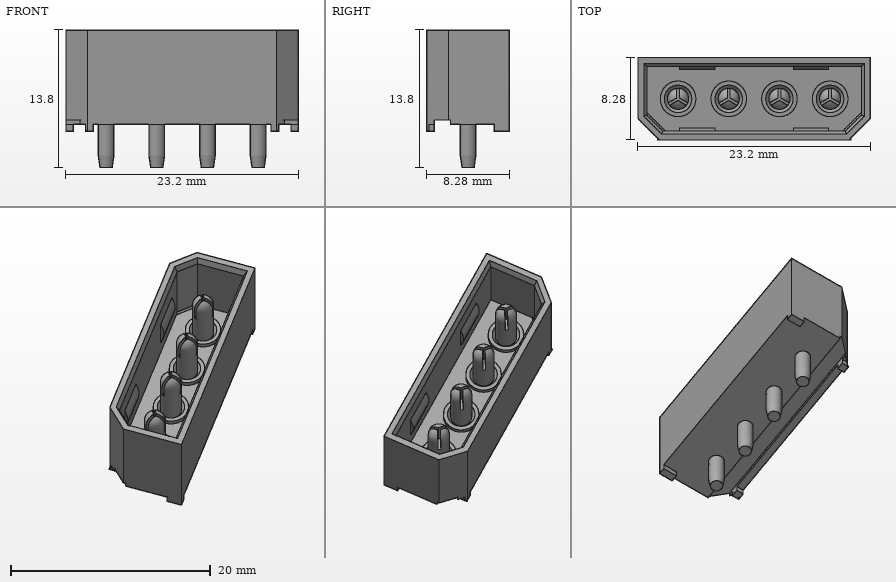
import cadquery as cq
import math

LENGTH = 23.25
DEPTH = 8.28
HEIGHT = 10.15
CORNER_CUT = 2.16
BACK = DEPTH / 2
FRONT = -DEPTH / 2

MOUTH_WALL = 0.6
MOUTH_CORNER_CUT = 1.8
CAVITY_WALL = 0.9
CAVITY_CORNER_CUT = 1.6
LEAD_IN_DEPTH = 0.6
FLOOR_TOP = 2.67
FLOOR_CORNER_CUT = 1.85
FLOOR_CHAMFER_HEIGHT = 0.19

FOOT_HEIGHT = 0.7
BACK_FOOT_LENGTH = 0.75
BACK_FOOT_DEPTH = 1.54
FRONT_FOOT_LENGTH = 0.8
FRONT_FOOT_DEPTH = 0.77
FRONT_FOOT_INSET = 1.95
FOOT_LIP_HEIGHT = 0.1
SLOT_WIDTH = 1.6
SLOT_TOP = 1.12

BUMP_LENGTH = 3.54
BUMP_SPACING = 11.37
BUMP_BOTTOM = 4.33
BUMP_HEIGHT = 3.0
BUMP_BULGE = 0.33

PIN_COUNT = 4
PIN_PITCH = 5.07
PIN_DIAMETER = 2.12
PIN_TOP = 8.33
PIN_SLOT_WIDTH = 0.28
PIN_SLOT_DEPTH = 2.33
PIN_SLOT_ANGLES = (90, 210, 330)
BOSS_DIAMETER = 3.55
BOSS_HEIGHT = 0.47
COUNTERSINK_DIAMETER = 2.75
TAIL_DIAMETER = 1.58
TAIL_TIP_DIAMETER = 1.23
TAIL_LENGTH = 3.63
TAIL_TAPER_LENGTH = 1.19


def block(x_min, x_max, y_min, y_max, z_min, z_max):
    """Box given by its limits along each axis."""
    size = (x_max - x_min, y_max - y_min, z_max - z_min)
    return cq.Workplane().box(*size, centered=False).translate((x_min, y_min, z_min))


def shroud_outline(inset, cut, z):
    """Wire at height z of the outline moved inward by inset, with its front corners cut by cut."""
    half = LENGTH / 2 - inset
    back = BACK - inset
    front = FRONT + inset
    points = [
        (-half, back),
        (half, back),
        (half, front + cut),
        (half - cut, front),
        (-half + cut, front),
        (-half, front + cut),
    ]
    return cq.Workplane("XY", origin=(0, 0, z)).polyline(points).close().val()


def shroud_prism(inset, cut, z_min, z_max):
    """Solid with the cut-corner outline between two heights."""
    wire = shroud_outline(inset, cut, z_min)
    return cq.Workplane(cq.Solid.extrudeLinear(wire, [], cq.Vector(0, 0, z_max - z_min)))


def tapered_solid(lower_outline, upper_outline):
    """Solid with straight sides between two outlines."""
    return cq.Workplane(cq.Solid.makeLoft([lower_outline, upper_outline], True))


def feet():
    """Back corner feet and front feet whose outer corners follow the 45 degree sides."""
    end = LENGTH / 2
    back_foot = block(-end, -end + BACK_FOOT_LENGTH, BACK - BACK_FOOT_DEPTH, BACK, 0, FOOT_HEIGHT)
    foot_start = -end + FRONT_FOOT_INSET
    foot_end = foot_start + FRONT_FOOT_LENGTH
    foot_inner = FRONT + FRONT_FOOT_DEPTH
    front_foot = block(foot_start, foot_end, FRONT, foot_inner, 0, FOOT_HEIGHT)
    front_foot = front_foot.intersect(shroud_prism(0, CORNER_CUT, 0, HEIGHT))
    lip = block(foot_start, foot_end, FRONT, foot_inner, 0, FOOT_LIP_HEIGHT)
    left_feet = back_foot.union(front_foot.union(lip))
    return left_feet.union(left_feet.mirror("YZ"))


def shroud():
    """Hollow housing with its feet and underside slot."""
    body = shroud_prism(0, CORNER_CUT, FOOT_HEIGHT, HEIGHT)
    chamfer_top = FLOOR_TOP + FLOOR_CHAMFER_HEIGHT
    lead_in_start = HEIGHT - LEAD_IN_DEPTH
    floor_outline = shroud_outline(CAVITY_WALL, FLOOR_CORNER_CUT, FLOOR_TOP)
    chamfer_outline = shroud_outline(CAVITY_WALL, CAVITY_CORNER_CUT, chamfer_top)
    lead_in_outline = shroud_outline(CAVITY_WALL, CAVITY_CORNER_CUT, lead_in_start)
    mouth_outline = shroud_outline(MOUTH_WALL, MOUTH_CORNER_CUT, HEIGHT)
    body = body.cut(tapered_solid(floor_outline, chamfer_outline))
    body = body.cut(shroud_prism(CAVITY_WALL, CAVITY_CORNER_CUT, chamfer_top, HEIGHT))
    body = body.cut(tapered_solid(lead_in_outline, mouth_outline))
    slot_start = FRONT + FRONT_FOOT_DEPTH
    slot = block(-LENGTH / 2, LENGTH / 2, slot_start, slot_start + SLOT_WIDTH, 0, SLOT_TOP)
    return body.cut(slot).union(feet())


def grip_bump(x_center):
    """Bump with an arc profile on the back cavity wall."""
    wall = BACK - CAVITY_WALL
    root = BACK - CAVITY_WALL / 2
    middle = BUMP_BOTTOM + BUMP_HEIGHT / 2
    top = BUMP_BOTTOM + BUMP_HEIGHT
    profile = (
        cq.Workplane("YZ", origin=(x_center - BUMP_LENGTH / 2, 0, 0))
        .moveTo(root, BUMP_BOTTOM)
        .lineTo(wall, BUMP_BOTTOM)
        .threePointArc((wall - BUMP_BULGE, middle), (wall, top))
        .lineTo(root, top)
        .close()
    )
    return profile.extrude(BUMP_LENGTH)


def boss():
    """Round boss on the floor with a countersink narrowing to the pin."""
    boss_top = FLOOR_TOP + BOSS_HEIGHT
    return (
        cq.Workplane("XZ")
        .moveTo(PIN_DIAMETER / 2, FLOOR_TOP)
        .lineTo(BOSS_DIAMETER / 2, FLOOR_TOP)
        .lineTo(BOSS_DIAMETER / 2, boss_top)
        .lineTo(COUNTERSINK_DIAMETER / 2, boss_top)
        .close()
        .revolve(360, (0, 0), (0, 1))
    )


def pin():
    """Round-nosed pin split by three slots, with a thinner tapered tail below the floor."""
    radius = PIN_DIAMETER / 2
    nose_center = PIN_TOP - radius
    nose_offset = radius * math.sqrt(0.5)
    shoulder = (SLOT_TOP + FLOOR_TOP) / 2
    body = (
        cq.Workplane("XZ")
        .moveTo(0, -TAIL_LENGTH)
        .lineTo(TAIL_TIP_DIAMETER / 2, -TAIL_LENGTH)
        .lineTo(TAIL_DIAMETER / 2, -TAIL_LENGTH + TAIL_TAPER_LENGTH)
        .lineTo(TAIL_DIAMETER / 2, shoulder)
        .lineTo(radius, shoulder)
        .lineTo(radius, nose_center)
        .threePointArc((nose_offset, nose_center + nose_offset), (0, PIN_TOP))
        .close()
        .revolve(360, (0, 0), (0, 1))
    )
    half_slot = PIN_SLOT_WIDTH / 2
    slot = block(0, PIN_DIAMETER, -half_slot, half_slot, PIN_TOP - PIN_SLOT_DEPTH, PIN_TOP)
    for angle in PIN_SLOT_ANGLES:
        body = body.cut(slot.rotate((0, 0, 0), (0, 0, 1), angle))
    return body


result = shroud()

for x_center in (-BUMP_SPACING / 2, BUMP_SPACING / 2):
    bump = grip_bump(x_center)
    result = result.union(bump).union(bump.mirror("XZ"))

contact = pin().union(boss())
for index in range(PIN_COUNT):
    pin_x = (index - (PIN_COUNT - 1) / 2) * PIN_PITCH
    result = result.union(contact.translate((pin_x, 0, 0)))